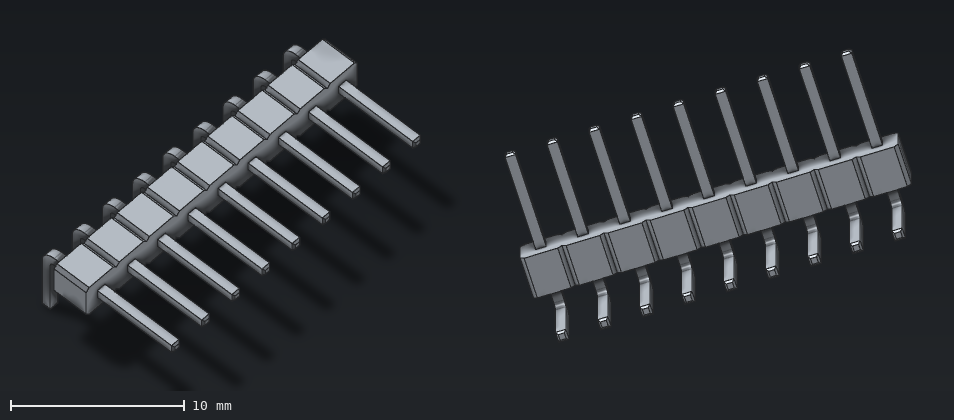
import cadquery as cq

pin_count = 9
row_length = 22.85
pitch = row_length / pin_count

housing_start = 1.83
edge_chamfer = 0.25

pin_width = 0.65
pin_reach = 10.35
total_height = 6.17
bend_inner_radius = pin_width / 2
bend_outer_radius = bend_inner_radius + pin_width
tip_chamfer = 0.14

pin_top = pin_width / 2
pin_bottom = -pin_width / 2
leg_end = pitch / 2 - total_height


def place_y(index):
    """Y position of the pin with the given index, counted from the -Y end."""
    return (index - (pin_count - 1) / 2) * pitch


def make_housing_cell(y):
    """One housing cell; neighbouring chamfers meet as V notches."""
    return (
        cq.Workplane("XY")
        .box(pitch, pitch, pitch, centered=(False, True, True))
        .edges("|X")
        .chamfer(edge_chamfer)
        .translate((housing_start, y, 0))
    )


def make_pin(y):
    """One square pin bent down at a right angle, with both tips chamfered."""
    bend_z = pin_top - bend_outer_radius
    pin = (
        cq.Workplane("XZ")
        .moveTo(0, leg_end)
        .lineTo(0, bend_z)
        .radiusArc((bend_outer_radius, pin_top), bend_outer_radius)
        .lineTo(pin_reach, pin_top)
        .lineTo(pin_reach, pin_bottom)
        .lineTo(bend_outer_radius, pin_bottom)
        .radiusArc((pin_width, bend_z), -bend_inner_radius)
        .lineTo(pin_width, leg_end)
        .close()
        .extrude(pin_width / 2, both=True)
    )
    pin = pin.faces(">X").chamfer(tip_chamfer)
    pin = pin.faces("<Z").chamfer(tip_chamfer)
    return pin.translate((0, y, 0))


result = make_housing_cell(place_y(0))
for index in range(1, pin_count):
    result = result.union(make_housing_cell(place_y(index)))
for index in range(pin_count):
    result = result.union(make_pin(place_y(index)))
result = result.clean()